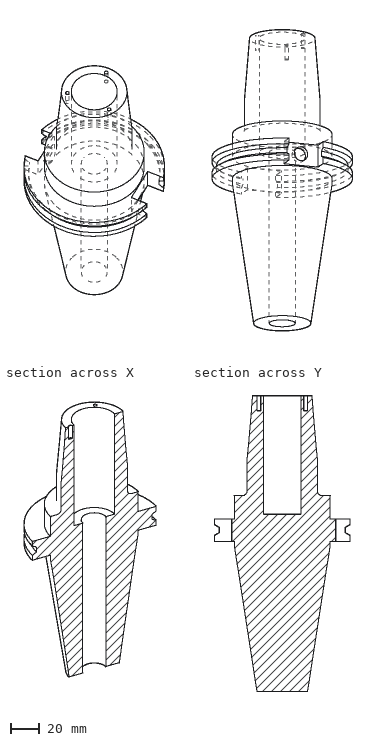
import cadquery as cq
import math

total_height = 206.5
gauge_z = 101.6
flange_bottom_z = 104.7
flange_thickness = 16.0
flange_top_z = flange_bottom_z + flange_thickness
collar_top_z = 137.0
nose_cone_z = 162.4

taper_ratio = 7 / 24
collar_radius = 35.0
taper_end_radius = collar_radius - gauge_z * taper_ratio / 2
flange_radius = 49.2
nose_radius = 26.5
nose_tip_radius = 23.0
nose_fillet = 3.0

groove_radius = 45.9
groove_bottom_z = 109.0
groove_top_z = 116.5
flank_angle = 30
flank_rise = (flange_radius - groove_radius) * math.tan(math.radians(flank_angle))

slot_width = 25.6
left_slot_floor_x = -37.4
right_slot_floor_x = 35.3

pocket_diameter = 10.0
pocket_depth = 4.5
pocket_z = 113.2

tool_bore_diameter = 32.0
tool_bore_depth = 82.6
through_diameter = 18.2
coolant_diameter = 2.5
coolant_depth = 10.3
coolant_circle_radius = 18.8
coolant_count = 3


def turned_body():
    """Revolve the half outline of the holder about Z."""
    outline = (
        cq.Workplane("XZ")
        .moveTo(0, 0)
        .lineTo(taper_end_radius, 0)
        .lineTo(collar_radius, gauge_z)
        .lineTo(collar_radius, flange_bottom_z)
        .lineTo(flange_radius, flange_bottom_z)
        .lineTo(flange_radius, groove_bottom_z)
        .lineTo(groove_radius, groove_bottom_z + flank_rise)
        .lineTo(groove_radius, groove_top_z - flank_rise)
        .lineTo(flange_radius, groove_top_z)
        .lineTo(flange_radius, flange_top_z)
        .lineTo(collar_radius, flange_top_z)
        .lineTo(collar_radius, collar_top_z)
        .lineTo(nose_radius + nose_fillet, collar_top_z)
        .radiusArc((nose_radius, collar_top_z + nose_fillet), nose_fillet)
        .lineTo(nose_radius, nose_cone_z)
        .lineTo(nose_tip_radius, total_height)
        .lineTo(0, total_height)
        .close()
    )
    return outline.revolve(360, (0, 0, 0), (0, 1, 0))


def drive_slot(floor_x):
    """Cutter running outward from a slot floor through the flange rim."""
    outer_x = math.copysign(flange_radius, floor_x)
    return (
        cq.Workplane("XY", origin=((floor_x + outer_x) / 2, 0, flange_bottom_z))
        .rect(abs(outer_x - floor_x), slot_width)
        .extrude(flange_thickness)
    )


def slot_pocket():
    """Cutter for the blind hole running inward from the left slot floor."""
    return (
        cq.Workplane("YZ", origin=(left_slot_floor_x, 0, pocket_z))
        .circle(pocket_diameter / 2)
        .extrude(pocket_depth)
    )


def add_bores(body):
    """Cut the stepped central bore and the coolant holes from the nose face."""
    nose_face = cq.Workplane("XY", origin=(0, 0, total_height))
    through = nose_face.circle(through_diameter / 2).extrude(-total_height)
    tool_bore = nose_face.circle(tool_bore_diameter / 2).extrude(-tool_bore_depth)
    coolant = (
        nose_face.polarArray(coolant_circle_radius, 90, 360, coolant_count)
        .circle(coolant_diameter / 2)
        .extrude(-coolant_depth)
    )
    return body.cut(through).cut(tool_bore).cut(coolant)


result = turned_body()
for slot_floor_x in (left_slot_floor_x, right_slot_floor_x):
    result = result.cut(drive_slot(slot_floor_x))
result = result.cut(slot_pocket())
result = add_bores(result)